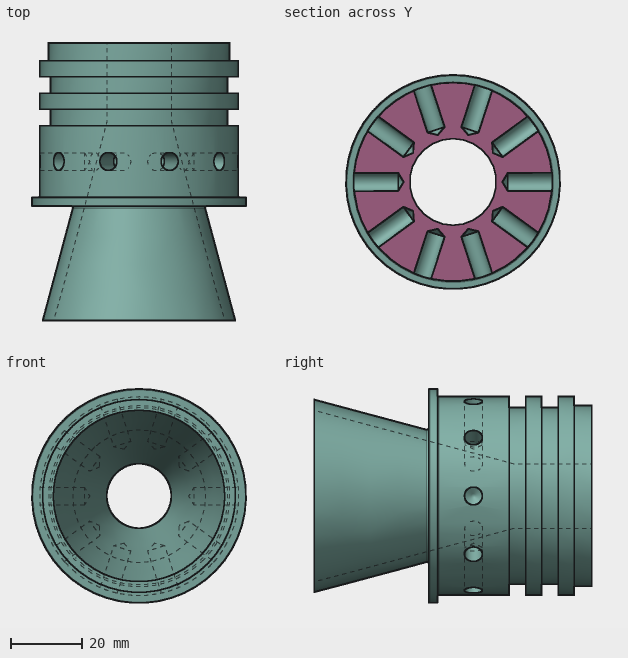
import cadquery as cq
import math

total_length = 77.78

half_angle = math.radians(15)
exit_radius = 27.0
exit_bore_radius = 24.0
throat_radius = 9.0

flange_start = 32.1
flange_thickness = 2.5
shell_length = 20.0
ring_width = 4.5
groove_width = 4.6
ring_count = 2

flange_radius = 30.0
shell_radius = 27.85
groove_radius = 24.8
nose_radius = 25.35
flange_edge_radius = 0.25
skirt_root_fillet = 0.5

hole_count = 10
hole_radius = 2.5
hole_depth = 12.5
drill_point_angle = math.radians(118)

shell_start = flange_start + flange_thickness
shell_end = shell_start + shell_length
hole_station = (shell_start + shell_end) / 2
ring_pitch = groove_width + ring_width
nose_start = shell_end + ring_count * ring_pitch
skirt_root_radius = exit_radius - flange_start * math.tan(half_angle)
throat_station = (exit_bore_radius - throat_radius) / math.tan(half_angle)


def revolve_about_y(profile):
    """Close a (station, radius) profile in the YZ plane and spin it about the Y axis."""
    return profile.close().revolve(360, (0, 0), (1, 0))


def make_core():
    """Flared skirt, flange, shell, groove floor and nose, before the edges are rounded."""
    profile = (
        cq.Workplane("YZ")
        .lineTo(0, exit_radius)
        .lineTo(flange_start, skirt_root_radius)
        .lineTo(flange_start, flange_radius)
        .lineTo(shell_start, flange_radius)
        .lineTo(shell_start, shell_radius)
        .lineTo(shell_end, shell_radius)
        .lineTo(shell_end, groove_radius)
        .lineTo(nose_start, groove_radius)
        .lineTo(nose_start, nose_radius)
        .lineTo(total_length, nose_radius)
        .lineTo(total_length, 0)
    )
    return revolve_about_y(profile)


def circles_at(station):
    """Select the circular edges centred on the axis at one station."""
    margin = flange_thickness / 10
    return cq.selectors.BoxSelector(
        (-margin, station - margin, -margin),
        (margin, station + margin, margin),
    )


def round_flange_edges(core):
    """Round the flange rims and the corners where the skirt and the shell meet the flange."""
    skirt_root = core.edges(circles_at(flange_start)).edges(cq.selectors.RadiusNthSelector(0))
    core = skirt_root.fillet(skirt_root_fillet)
    front_rim = core.edges(circles_at(flange_start)).edges(cq.selectors.RadiusNthSelector(-1))
    core = front_rim.fillet(flange_edge_radius)
    return core.edges(circles_at(shell_start)).fillet(flange_edge_radius)


def make_ring(index):
    """Raised ring separating two grooves."""
    start = shell_end + groove_width + index * ring_pitch
    profile = (
        cq.Workplane("YZ")
        .moveTo(start, 0)
        .lineTo(start, shell_radius)
        .lineTo(start + ring_width, shell_radius)
        .lineTo(start + ring_width, 0)
    )
    return revolve_about_y(profile)


def make_bore():
    """Conical exit bore running into a straight throat."""
    profile = (
        cq.Workplane("YZ")
        .lineTo(0, exit_bore_radius)
        .lineTo(throat_station, throat_radius)
        .lineTo(total_length, throat_radius)
        .lineTo(total_length, 0)
    )
    return revolve_about_y(profile)


def make_radial_hole(angle):
    """Blind drilled hole with a conical bottom, turned about Y by angle degrees from +X."""
    floor = shell_radius - hole_depth
    tip = floor - hole_radius / math.tan(drill_point_angle / 2)
    hole = (
        cq.Workplane("XY")
        .moveTo(tip, hole_station)
        .lineTo(floor, hole_station + hole_radius)
        .lineTo(flange_radius, hole_station + hole_radius)
        .lineTo(flange_radius, hole_station)
        .close()
        .revolve(360, (0, hole_station), (1, hole_station))
    )
    return hole.rotate((0, 0, 0), (0, 1, 0), angle)


result = round_flange_edges(make_core())
for ring_index in range(ring_count):
    result = result.union(make_ring(ring_index))
result = result.cut(make_bore())
for hole_index in range(hole_count):
    result = result.cut(make_radial_hole(hole_index * 360 / hole_count))